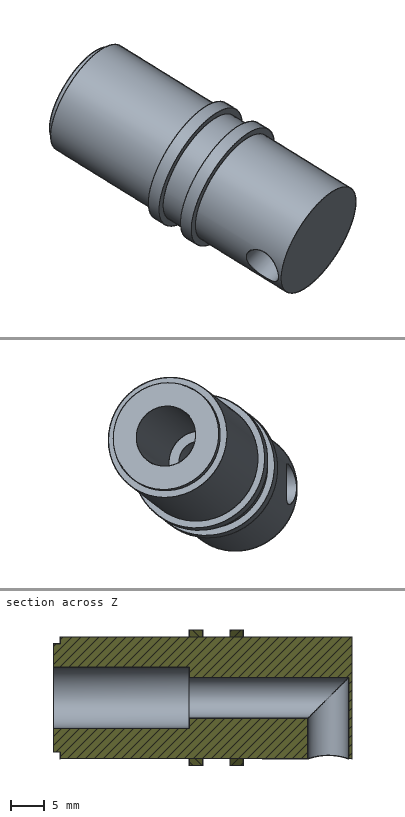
import cadquery as cq

LENGTH = 44.0
BODY_DIAMETER = 18.0
SPIGOT_DIAMETER = 16.0
SPIGOT_LENGTH = 1.0

SOCKET_DIAMETER = 9.0
SOCKET_DEPTH = 20.0
BORE_DIAMETER = 6.0
PORT_EDGE_DISTANCE = 0.5
PORT_X = LENGTH - PORT_EDGE_DISTANCE - BORE_DIAMETER / 2

RING_DIAMETER = 20.0
RING_WIDTH = 2.0
RING_PITCH = 6.0
FIRST_RING_X = 20.0
RING_COUNT = 2


def x_cylinder(diameter, start, end):
    """Cylinder on the X axis between two X positions."""
    return cq.Workplane("YZ", origin=(start, 0, 0)).circle(diameter / 2).extrude(end - start)


def port_cylinder(start, end):
    """Cylinder parallel to Y at the side port, between two Y positions."""
    return cq.Workplane("XZ", origin=(PORT_X, end, 0)).circle(BORE_DIAMETER / 2).extrude(end - start)


def make_passage():
    """Socket and bore along X, turned through a mitred elbow into the side port."""
    bore_radius = BORE_DIAMETER / 2
    socket = x_cylinder(SOCKET_DIAMETER, 0, SOCKET_DEPTH)
    bore = x_cylinder(BORE_DIAMETER, SOCKET_DEPTH, PORT_X)
    port = port_cylinder(-BODY_DIAMETER / 2, 0)

    elbow = x_cylinder(BORE_DIAMETER, PORT_X - bore_radius, PORT_X + bore_radius).intersect(
        port_cylinder(-bore_radius, bore_radius)
    )
    return socket.union(bore).union(port).union(elbow)


def make_housing():
    spigot = x_cylinder(SPIGOT_DIAMETER, 0, SPIGOT_LENGTH)
    barrel = x_cylinder(BODY_DIAMETER, SPIGOT_LENGTH, LENGTH)
    return spigot.union(barrel).cut(make_passage())


def make_ring(start):
    """Plain ring that fits closely around the housing."""
    end = start + RING_WIDTH
    return x_cylinder(RING_DIAMETER, start, end).cut(x_cylinder(BODY_DIAMETER, start, end))


housing = make_housing().solids()

rings = []
for index in range(RING_COUNT):
    ring = make_ring(FIRST_RING_X + index * RING_PITCH).solids()
    rings.append(ring.val())

result = cq.Compound.makeCompound([housing.val(), *rings])